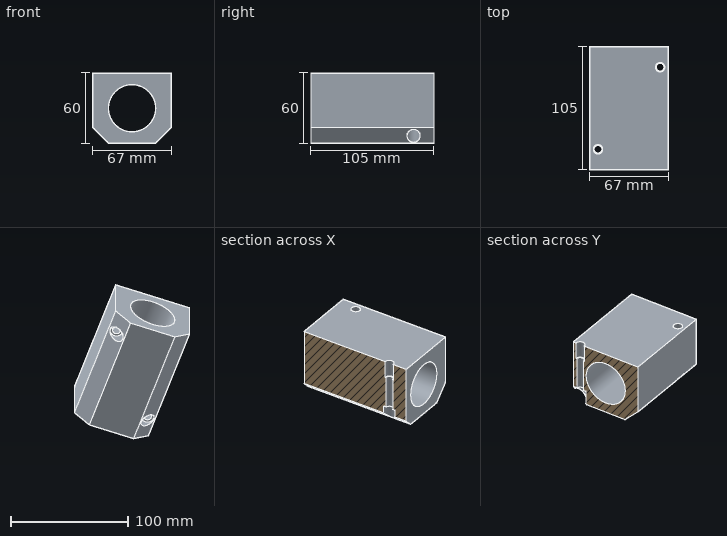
import cadquery as cq

width = 67.0
length = 105
height = 60.0

bore_diameter = 40.0

corner_chamfer = (width - bore_diameter) / 2

screw_side_margin = 7.0
screw_end_margin = 17.5
clearance_diameter = 6.6
thread_diameter = 8.0
thread_depth = 2 * thread_diameter
head_diameter = 11.0
head_seat_height = corner_chamfer

screw_x = width / 2 - screw_side_margin
screw_y = length / 2 - screw_end_margin


def chamfered_block():
    """Rectangular block with its two long lower edges cut at 45 degrees."""
    block = cq.Workplane("XY").box(width, length, height, centered=(True, True, False))
    return block.faces("<Z").edges("|Y").chamfer(corner_chamfer)


def main_bore():
    """Round bore through the full length at mid height."""
    return (
        cq.Workplane("XZ")
        .center(0, height / 2)
        .circle(bore_diameter / 2)
        .extrude(length / 2, both=True)
    )


def vertical_cylinder(x, y, diameter, bottom, top):
    """Upright cylinder between two heights."""
    return cq.Workplane("XY", origin=(x, y, bottom)).circle(diameter / 2).extrude(top - bottom)


def screw_hole(x, y):
    """Through hole, threaded from the top and recessed for a screw head from below."""
    clearance = vertical_cylinder(x, y, clearance_diameter, 0, height)
    thread = vertical_cylinder(x, y, thread_diameter, height - thread_depth, height)
    head_recess = vertical_cylinder(x, y, head_diameter, 0, head_seat_height)
    return clearance.union(thread).union(head_recess)


result = chamfered_block().cut(main_bore())
for corner in (-1, 1):
    result = result.cut(screw_hole(corner * screw_x, corner * screw_y))